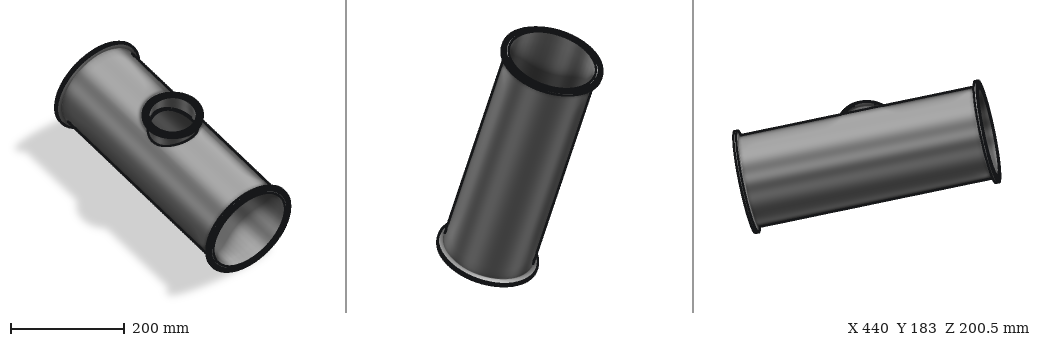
import cadquery as cq
import math

tube_length = 440.0
tube_outer_diameter = 165.0
tube_inner_diameter = 159.5

branch_outer_diameter = 89.0
branch_inner_diameter = 85.0
branch_top_height = 109.0

main_flange_diameter = 183.0
main_rim_thickness = 5.5
branch_flange_diameter = 106.0
branch_rim_thickness = 2.5
taper_angle = math.radians(20)
flange_root = 1.0
blend_radius = 1.5

main_groove_diameter = 174.0
branch_groove_diameter = 97.0
groove_width = 4.0
groove_floor_width = 2.0
groove_depth = 1.8


def radial_section(plane):
    """Workplane through the axis: x is the radius, y points out of the flange face."""
    section_plane = cq.Plane(
        origin=plane.origin,
        xDir=plane.xDir,
        normal=plane.xDir.cross(plane.zDir),
    )
    return cq.Workplane(section_plane)


def revolve_about_axis(section):
    """Full turn of a radial section about the tube axis."""
    return section.revolve(360, (0, 0, 0), (0, 1, 0))


def flange(plane, tube_diameter, flange_diameter, rim_thickness):
    """Ring with a straight rim and a tapered back that blends into the tube."""
    tube_radius = tube_diameter / 2
    flange_radius = flange_diameter / 2
    corner_depth = rim_thickness + (flange_radius - tube_radius) * math.tan(taper_angle)
    half_sweep = (math.pi / 2 - taper_angle) / 2
    setback = blend_radius * math.tan(half_sweep)
    blend_start = (
        tube_radius + setback * math.cos(taper_angle),
        -corner_depth + setback * math.sin(taper_angle),
    )
    blend_end = (tube_radius, -corner_depth - setback)
    blend_middle = (
        tube_radius + blend_radius * (1 - math.cos(half_sweep)),
        -corner_depth - setback + blend_radius * math.sin(half_sweep),
    )
    bore_side = tube_radius - flange_root
    return revolve_about_axis(
        radial_section(plane)
        .moveTo(bore_side, 0)
        .lineTo(flange_radius, 0)
        .lineTo(flange_radius, -rim_thickness)
        .lineTo(*blend_start)
        .threePointArc(blend_middle, blend_end)
        .lineTo(bore_side, blend_end[1])
        .close()
    )


def groove_ring(plane, groove_diameter):
    """Ring that cuts the gasket groove into a flange face."""
    middle = groove_diameter / 2
    return revolve_about_axis(
        radial_section(plane)
        .moveTo(middle - groove_width / 2, 0)
        .lineTo(middle - groove_floor_width / 2, -groove_depth)
        .lineTo(middle + groove_floor_width / 2, -groove_depth)
        .lineTo(middle + groove_width / 2, 0)
        .close()
    )


left_plane = cq.Plane(origin=(-tube_length / 2, 0, 0), xDir=(0, 1, 0), normal=(-1, 0, 0))
right_plane = cq.Plane(origin=(tube_length / 2, 0, 0), xDir=(0, 1, 0), normal=(1, 0, 0))
branch_plane = cq.Plane(origin=(0, 0, branch_top_height), xDir=(1, 0, 0), normal=(0, 0, 1))

left_face = cq.Workplane(left_plane)
branch_face = cq.Workplane(branch_plane)
body = left_face.circle(tube_outer_diameter / 2).extrude(-tube_length)
body = body.union(branch_face.circle(branch_outer_diameter / 2).extrude(-branch_top_height))
for plane in (left_plane, right_plane):
    body = body.union(flange(plane, tube_outer_diameter, main_flange_diameter, main_rim_thickness))
body = body.union(
    flange(branch_plane, branch_outer_diameter, branch_flange_diameter, branch_rim_thickness)
)

body = body.cut(left_face.circle(tube_inner_diameter / 2).extrude(-tube_length))
body = body.cut(branch_face.circle(branch_inner_diameter / 2).extrude(-branch_top_height))

for plane in (left_plane, right_plane):
    body = body.cut(groove_ring(plane, main_groove_diameter))
body = body.cut(groove_ring(branch_plane, branch_groove_diameter))

result = body